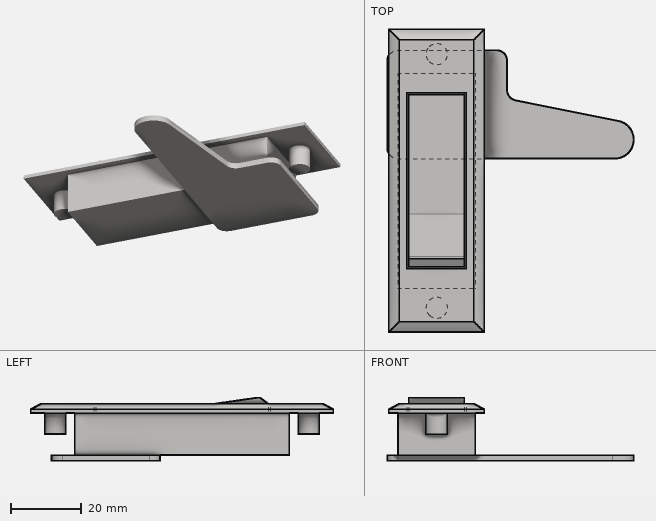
import cadquery as cq

lever_thickness = 1.6
body_height = 11.95
rim_height = 1.0
bevel_height = 1.6
ridge_height = 1.7
body_bottom = lever_thickness
plate_bottom = body_bottom + body_height
plate_height = rim_height + bevel_height
plate_top = plate_bottom + plate_height

plate_width = 27.2
plate_length = 86.0
bevel_inset = 3.0

body_width = 22.0
body_length = 61.0
post_diameter = 6.0
post_length = 6.0
post_spacing = 72.0

window_width = 16.85
window_length = 50.0
window_gap = 0.5
button_width = window_width - 2 * window_gap
button_length = window_length - 2 * window_gap
ramp_length = 12.0
ridge_length = 0.8
nose_length = 2.3

lever_left = -14.0
lever_right = 56.0
lever_shoulder = 20.0
lever_front = 6.3
lever_back = 37.1
lever_corner_radius = 3.0
tip_arc_front_x = 49.9
tip_arc_back_x = 51.6
tip_peak = 11.7
taper_start = 23.3
taper_slope = 0.2


def make_plate():
    """Flat rim topped by a bevel, with the button window cut through."""
    base = cq.Workplane("XY", origin=(0, 0, plate_bottom))
    rim = base.rect(plate_width, plate_length).extrude(rim_height)
    plate = (
        rim.faces(">Z").workplane()
        .rect(plate_width, plate_length)
        .workplane(offset=bevel_height)
        .rect(plate_width - 2 * bevel_inset, plate_length - 2 * bevel_inset)
        .loft(combine=True)
    )
    window = base.rect(window_width, window_length).extrude(plate_height)
    return plate.cut(window)


def make_body():
    """Rectangular lock body between the lever and the plate."""
    return cq.Workplane("XY", origin=(0, 0, body_bottom)).rect(body_width, body_length).extrude(body_height)


def make_posts():
    """Round posts hanging from both ends of the plate."""
    return (
        cq.Workplane("XY", origin=(0, 0, plate_bottom))
        .pushPoints([(0, -post_spacing / 2), (0, post_spacing / 2)])
        .circle(post_diameter / 2)
        .extrude(-post_length)
    )


def make_button():
    """Button flush with the plate, rising along a ramp to a ridge near its -Y end."""
    button_front = -button_length / 2
    ridge_front = button_front + nose_length
    ridge_back = ridge_front + ridge_length
    ridge_top = plate_top + ridge_height
    return (
        cq.Workplane("YZ")
        .moveTo(button_front, plate_bottom)
        .lineTo(button_front, plate_top)
        .lineTo(ridge_front, ridge_top)
        .lineTo(ridge_back, ridge_top)
        .lineTo(ridge_back + ramp_length, plate_top)
        .lineTo(button_length / 2, plate_top)
        .lineTo(button_length / 2, plate_bottom)
        .close()
        .extrude(button_width / 2, both=True)
    )


def make_lever():
    """Flat lever with rounded block corners and an arm ending in a single round tip."""
    taper_end = taper_start - (tip_arc_back_x - lever_shoulder) * taper_slope
    blank = (
        cq.Workplane("XY")
        .moveTo(lever_left, lever_front)
        .lineTo(tip_arc_front_x, lever_front)
        .threePointArc((lever_right, tip_peak), (tip_arc_back_x, taper_end))
        .lineTo(lever_shoulder, taper_start)
        .lineTo(lever_shoulder, lever_back)
        .lineTo(lever_left, lever_back)
        .close()
        .extrude(lever_thickness)
    )
    margin = 0.9
    block_corners = cq.selectors.BoxSelector(
        (lever_left - margin, lever_front - margin, -margin),
        (lever_shoulder + margin, lever_back + margin, lever_thickness + margin),
    )
    return blank.edges("|Z").edges(block_corners).fillet(lever_corner_radius)


result = make_plate().union(make_body()).union(make_posts()).union(make_button()).union(make_lever())